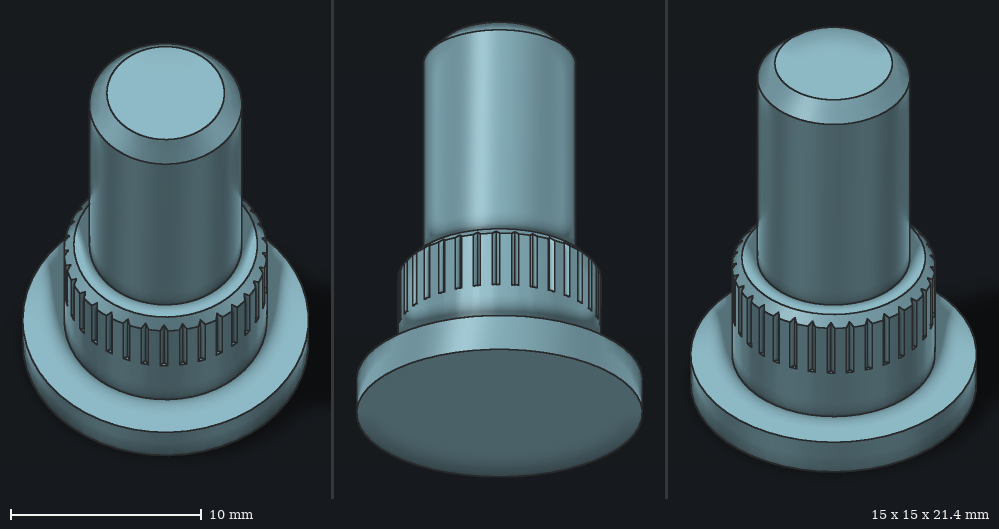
import cadquery as cq
import math

total_height = 21.4
head_diameter = 15.0
head_height = 2.0
collar_diameter = 10.65
collar_top = 8.4
collar_chamfer = 0.51
shank_diameter = 8.0
tip_chamfer = 0.92

groove_count = 33
groove_depth = 0.21
groove_angle = 85.0
knurl_bottom = 4.9
first_groove_angle = 90.0


def cylinder(diameter, bottom, top):
    return cq.Workplane("XY").workplane(offset=bottom).circle(diameter / 2).extrude(top - bottom)


def groove_cutter():
    """V-shaped prism on +X, root inside the collar, mouth reaching out past its surface."""
    root_radius = collar_diameter / 2 - groove_depth
    cutter_depth = 2 * groove_depth
    half_width = cutter_depth * math.tan(math.radians(groove_angle / 2))
    mouth_radius = root_radius + cutter_depth
    return (
        cq.Workplane("XY")
        .workplane(offset=knurl_bottom)
        .polyline([(root_radius, 0), (mouth_radius, half_width), (mouth_radius, -half_width)])
        .close()
        .extrude(collar_top - knurl_bottom)
    )


def knurled_collar():
    collar = cylinder(collar_diameter, head_height, collar_top).faces(">Z").chamfer(collar_chamfer)
    cutter = groove_cutter()
    for index in range(groove_count):
        angle = first_groove_angle + index * 360 / groove_count
        collar = collar.cut(cutter.rotate((0, 0, 0), (0, 0, 1), angle))
    return collar


head = cylinder(head_diameter, 0, head_height)
shank = cylinder(shank_diameter, head_height, total_height).faces(">Z").chamfer(tip_chamfer)

result = head.union(knurled_collar()).union(shank)